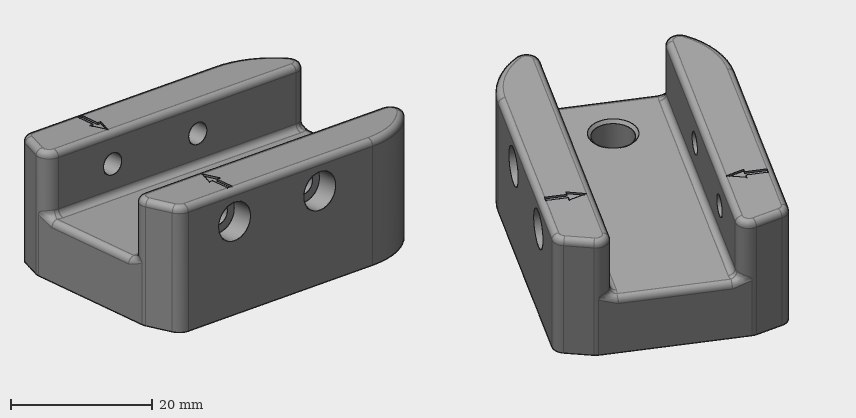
import cadquery as cq
import math

WIDTH = 34.3
LENGTH = 48.6
HEIGHT = 19.5

WALL = 8.0
FLOOR_HEIGHT = 9.5
EDGE_RADIUS = 1.0

CORNER_RADIUS = 2.0
FRONT_SLANT = math.radians(20)
REAR_ARC_RADIUS = 13.02

FLOOR_HOLE_Y = 15.85
FLOOR_HOLE_DIAMETER = 6.3
FLOOR_HOLE_EXIT_DIAMETER = 5.5
FLOOR_HOLE_EXIT_DEPTH = 0.95
FLOOR_HOLE_CHAMFER = 0.5

SCREW_YS = (3.85, -12.15)
SCREW_Z = 14.5
SCREW_DIAMETER = 3.4
SCREW_HEAD_DIAMETER = 6.0
SCREW_HEAD_DEPTH = 3.5

ARROW_Y = -12.15
ARROW_HEAD_LENGTH = 2.7
ARROW_HEAD_WIDTH = 2.05
ARROW_SHAFT_WIDTH = 0.85
ARROW_DEPTH = 0.3

HALF_WIDTH = WIDTH / 2
HALF_LENGTH = LENGTH / 2
HALF_CHANNEL = HALF_WIDTH - WALL
ROUND_X = HALF_CHANNEL + CORNER_RADIUS
ROUND_Y = HALF_LENGTH - CORNER_RADIUS


def on_circle(center, radius, angle):
    """Point on a circle, with the angle measured from +X."""
    return (center[0] + radius * math.cos(angle), center[1] + radius * math.sin(angle))


def right_half_outline():
    """Plan of the +X half, with all arcs tangent to their neighbours."""
    round_front = (ROUND_X, -ROUND_Y)
    round_rear = (ROUND_X, ROUND_Y)
    slant_normal = FRONT_SLANT - math.pi / 2
    slant_start = on_circle(round_front, CORNER_RADIUS, slant_normal)

    outer_x = HALF_WIDTH - CORNER_RADIUS
    outer_front = (outer_x, -ROUND_Y + (outer_x - ROUND_X) * math.tan(FRONT_SLANT))

    arc_x = HALF_WIDTH - REAR_ARC_RADIUS
    rise = math.sqrt((REAR_ARC_RADIUS - CORNER_RADIUS) ** 2 - (ROUND_X - arc_x) ** 2)
    arc_center = (arc_x, ROUND_Y - rise)
    arc_end = math.atan2(rise, ROUND_X - arc_x)

    return (
        cq.Workplane("XY")
        .moveTo(0, -HALF_LENGTH)
        .lineTo(ROUND_X, -HALF_LENGTH)
        .threePointArc(
            on_circle(round_front, CORNER_RADIUS, (slant_normal - math.pi / 2) / 2),
            slant_start,
        )
        .lineTo(*on_circle(outer_front, CORNER_RADIUS, slant_normal))
        .threePointArc(
            on_circle(outer_front, CORNER_RADIUS, slant_normal / 2),
            (HALF_WIDTH, outer_front[1]),
        )
        .lineTo(HALF_WIDTH, arc_center[1])
        .threePointArc(
            on_circle(arc_center, REAR_ARC_RADIUS, arc_end / 2),
            on_circle(arc_center, REAR_ARC_RADIUS, arc_end),
        )
        .threePointArc(
            on_circle(round_rear, CORNER_RADIUS, (arc_end + math.pi / 2) / 2),
            (ROUND_X, HALF_LENGTH),
        )
        .lineTo(0, HALF_LENGTH)
        .close()
    )


def full_plan(height):
    """Solid of the whole plan outline, mirrored about the YZ plane."""
    half = right_half_outline().extrude(height)
    return half.union(half.mirror("YZ")).clean()


def channel_cutter():
    """Space between the walls, flaring tangentially into both end faces."""
    outline = cq.Workplane("XY", origin=(0, 0, FLOOR_HEIGHT)).moveTo(ROUND_X, -HALF_LENGTH)
    diagonal = CORNER_RADIUS * math.sqrt(0.5)
    for side in (1, -1):
        outline = (
            outline.threePointArc(
                (side * (ROUND_X - diagonal), -side * (ROUND_Y + diagonal)),
                (side * HALF_CHANNEL, -side * ROUND_Y),
            )
            .lineTo(side * HALF_CHANNEL, side * ROUND_Y)
            .threePointArc(
                (side * (ROUND_X - diagonal), side * (ROUND_Y + diagonal)),
                (side * ROUND_X, side * HALF_LENGTH),
            )
            .lineTo(-side * ROUND_X, side * HALF_LENGTH)
        )
    return outline.close().extrude(HEIGHT - FLOOR_HEIGHT)


def round_edges(body):
    """Round the whole rim of the channel floor and the top edges of the walls."""
    floor_face = cq.selectors.BoxSelector((-0.5, -0.5, FLOOR_HEIGHT - 0.5), (0.5, 0.5, FLOOR_HEIGHT + 0.5))
    body = body.faces(floor_face).edges().fillet(EDGE_RADIUS)
    return body.faces(">Z").edges().fillet(EDGE_RADIUS)


def floor_hole():
    """Cutter for the chamfered floor hole with a narrower exit at the bottom."""
    bore_radius = FLOOR_HOLE_DIAMETER / 2
    exit_radius = FLOOR_HOLE_EXIT_DIAMETER / 2
    return (
        cq.Workplane("XZ", origin=(0, FLOOR_HOLE_Y, 0))
        .moveTo(0, 0)
        .lineTo(exit_radius, 0)
        .lineTo(exit_radius, FLOOR_HOLE_EXIT_DEPTH)
        .lineTo(bore_radius, FLOOR_HOLE_EXIT_DEPTH)
        .lineTo(bore_radius, FLOOR_HEIGHT - FLOOR_HOLE_CHAMFER)
        .lineTo(bore_radius + FLOOR_HOLE_CHAMFER, FLOOR_HEIGHT)
        .lineTo(0, FLOOR_HEIGHT)
        .close()
        .revolve(360, (0, 0, 0), (0, 1, 0))
    )


def wall_screw_hole(y):
    """Cutter for one counterbored hole through the +X wall."""
    outer_face = cq.Workplane("YZ", origin=(HALF_WIDTH, y, SCREW_Z))
    shank = outer_face.circle(SCREW_DIAMETER / 2).extrude(-WALL)
    head = outer_face.circle(SCREW_HEAD_DIAMETER / 2).extrude(-SCREW_HEAD_DEPTH)
    return shank.union(head)


def wall_arrow():
    """Cutter for the arrow on the +X wall, pointing towards the channel."""
    tip_x = HALF_CHANNEL + EDGE_RADIUS
    head_x = tip_x + ARROW_HEAD_LENGTH
    tail_x = HALF_WIDTH - EDGE_RADIUS
    half_head = ARROW_HEAD_WIDTH / 2
    half_shaft = ARROW_SHAFT_WIDTH / 2
    return (
        cq.Workplane("XY", origin=(0, ARROW_Y, HEIGHT))
        .polyline(
            [
                (tip_x, 0),
                (head_x, half_head),
                (head_x, half_shaft),
                (tail_x, half_shaft),
                (tail_x, -half_shaft),
                (head_x, -half_shaft),
                (head_x, -half_head),
            ]
        )
        .close()
        .extrude(-ARROW_DEPTH)
    )


result = round_edges(full_plan(HEIGHT).cut(channel_cutter())).cut(floor_hole())
wall_cutters = [wall_screw_hole(y) for y in SCREW_YS] + [wall_arrow()]
for cutter in wall_cutters:
    result = result.cut(cutter).cut(cutter.mirror("YZ"))
result = result.solids()